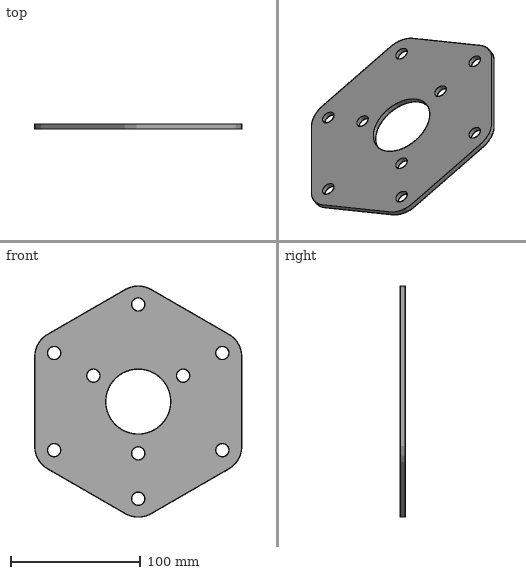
import cadquery as cq
import math

WIDTH_ACROSS_FLATS = 160.0
THICKNESS = 4.0
CORNER_RADIUS = 20.0
SIDES = 6

BORE_DIAMETER = 50.0
BOLT_HOLE_DIAMETER = 10.0
OUTER_BOLT_CIRCLE_RADIUS = 75.0
OUTER_BOLT_COUNT = 6
INNER_BOLT_CIRCLE_RADIUS = 40.0
INNER_BOLT_COUNT = 3

UP = 90.0
DOWN = -90.0


def circle_points(radius, count, start_angle):
    """Evenly spaced (x, z) points on a circle around the plate centre."""
    angles = [math.radians(start_angle + i * 360.0 / count) for i in range(count)]
    return [(radius * math.cos(a), radius * math.sin(a)) for a in angles]


def make_plate():
    """Hexagon with corners pointing up and down, and rounded corners."""
    corner_distance = WIDTH_ACROSS_FLATS / 2 / math.cos(math.pi / SIDES)
    return (
        cq.Workplane("XZ", origin=(0, THICKNESS / 2, 0))
        .polyline(circle_points(corner_distance, SIDES, UP))
        .close()
        .extrude(THICKNESS)
        .edges("|Y")
        .fillet(CORNER_RADIUS)
    )


def make_hole_cutters(diameter, points):
    """Cylinders along Y that span the full plate thickness."""
    return (
        cq.Workplane("XZ", origin=(0, THICKNESS / 2, 0))
        .pushPoints(points)
        .circle(diameter / 2)
        .extrude(THICKNESS)
    )


outer_bolt_points = circle_points(OUTER_BOLT_CIRCLE_RADIUS, OUTER_BOLT_COUNT, UP)
inner_bolt_points = circle_points(INNER_BOLT_CIRCLE_RADIUS, INNER_BOLT_COUNT, DOWN)

result = (
    make_plate()
    .cut(make_hole_cutters(BORE_DIAMETER, [(0, 0)]))
    .cut(make_hole_cutters(BOLT_HOLE_DIAMETER, outer_bolt_points + inner_bolt_points))
)